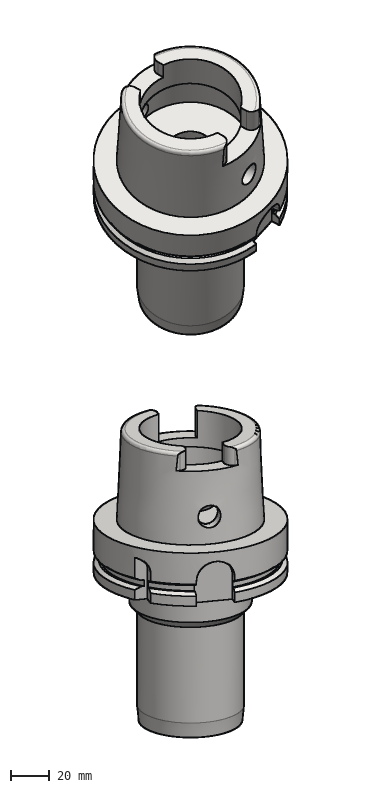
import cadquery as cq

total_height = 160.0
flange_top = 110.0
flange_bottom = 81.0
collar_bottom = 65.1
shank_top = 61.0
shank_tip_height = 8.5

flange_radius = 50.0
collar_radius = 31.7
shank_radius = 27.7
shank_tip_radius = 26.9
taper_base_radius = 38.0
taper_top_radius = 35.8
taper_rim_fillet = 2.0

groove_radius = 46.2
groove_top = flange_top - 18.7
groove_bottom = groove_top - 3.4
groove_chamfer_height = 1.6
groove_chamfer_depth = 2.5

mouth_radius = 26.4
mouth_depth = 20.0
chamber_radius = 31.4
chamber_depth = 41.5
counterbore_radius = 12.0
counterbore_depth = 15.0
through_radius = 6.0

drive_slot_width = 20.5
drive_slot_shoulder = 32.3
drive_slot_fillet = 4.5
left_drive_slot_depth = 10.0
right_drive_slot_depth = 15.0

cross_hole_radius = 6.0
cross_hole_depth = 35.0

keyway_width = 20.5
keyway_floor = 44.0
keyway_top = flange_top - 5.3
notch_inner_edge = 31.8
notch_floor = 31.8
notch_corner_radius = 6.5
notch_top = flange_top - 6.0


def cylinder(radius, bottom, top):
    return cq.Workplane("XY").workplane(offset=bottom).circle(radius).extrude(top - bottom)


def revolved_body():
    chamfer_radius = flange_radius - groove_chamfer_depth
    return (
        cq.Workplane("XZ")
        .polyline([
            (0, 0),
            (shank_tip_radius, 0),
            (shank_radius, shank_tip_height),
            (shank_radius, shank_top),
            (collar_radius, collar_bottom),
            (collar_radius, flange_bottom),
            (flange_radius, flange_bottom),
            (flange_radius, groove_bottom - groove_chamfer_height),
            (chamfer_radius, groove_bottom),
            (groove_radius, groove_bottom),
            (groove_radius, groove_top),
            (chamfer_radius, groove_top),
            (flange_radius, groove_top + groove_chamfer_height),
            (flange_radius, flange_top),
            (taper_base_radius, flange_top),
            (taper_top_radius, total_height),
            (0, total_height),
        ])
        .close()
        .revolve(360, (0, 0), (0, 1))
        .faces(">Z").edges().fillet(taper_rim_fillet)
    )


def stepped_bore():
    mouth_bottom = total_height - mouth_depth
    chamber_bottom = total_height - chamber_depth
    counterbore_bottom = chamber_bottom - counterbore_depth
    return (
        cylinder(mouth_radius, mouth_bottom, total_height)
        .union(cylinder(chamber_radius, chamber_bottom, mouth_bottom))
        .union(cylinder(counterbore_radius, counterbore_bottom, chamber_bottom))
        .union(cylinder(through_radius, 0, counterbore_bottom))
    )


def drive_slot(side, depth):
    """Slot that flares through rounded corners to a flat shoulder; side is -1 or 1 along X."""
    half_width = drive_slot_width / 2
    shoulder = side * drive_slot_shoulder
    fillet_start = side * (drive_slot_shoulder - drive_slot_fillet)
    outer = side * flange_radius
    flare = half_width + drive_slot_fillet
    bulge = drive_slot_fillet * (1 - 0.5 ** 0.5)
    arc_x = shoulder - side * bulge
    arc_y = half_width + bulge
    return (
        cq.Workplane("XY")
        .workplane(offset=total_height - depth)
        .moveTo(0, -half_width)
        .lineTo(fillet_start, -half_width)
        .threePointArc((arc_x, -arc_y), (shoulder, -flare))
        .lineTo(shoulder, -flange_radius)
        .lineTo(outer, -flange_radius)
        .lineTo(outer, flange_radius)
        .lineTo(shoulder, flange_radius)
        .lineTo(shoulder, flare)
        .threePointArc((arc_x, arc_y), (fillet_start, half_width))
        .lineTo(0, half_width)
        .close()
        .extrude(depth)
    )


def round_topped_slot(center_y, half_width, top, start_x, end_x):
    """Slot running along X, open at the flange's lower face, with a semicircular top."""
    spring_line = top - half_width
    return (
        cq.Workplane("YZ")
        .workplane(offset=start_x)
        .moveTo(center_y - half_width, flange_bottom)
        .lineTo(center_y - half_width, spring_line)
        .threePointArc((center_y, top), (center_y + half_width, spring_line))
        .lineTo(center_y + half_width, flange_bottom)
        .close()
        .extrude(end_x - start_x)
    )


def keyway(side):
    return round_topped_slot(
        0, keyway_width / 2, keyway_top, side * keyway_floor, side * flange_radius
    )


def orientation_notch():
    """Notch in the flange's -X, +Y quarter."""
    return round_topped_slot(
        notch_inner_edge + notch_corner_radius,
        notch_corner_radius,
        notch_top,
        -flange_radius,
        -notch_floor,
    )


def cross_hole():
    return (
        cq.Workplane("YZ")
        .center(0, total_height - cross_hole_depth)
        .circle(cross_hole_radius)
        .extrude(flange_radius, both=True)
    )


result = revolved_body().cut(stepped_bore()).cut(cross_hole()).cut(orientation_notch())
for side, slot_depth in ((-1, left_drive_slot_depth), (1, right_drive_slot_depth)):
    result = result.cut(drive_slot(side, slot_depth)).cut(keyway(side))